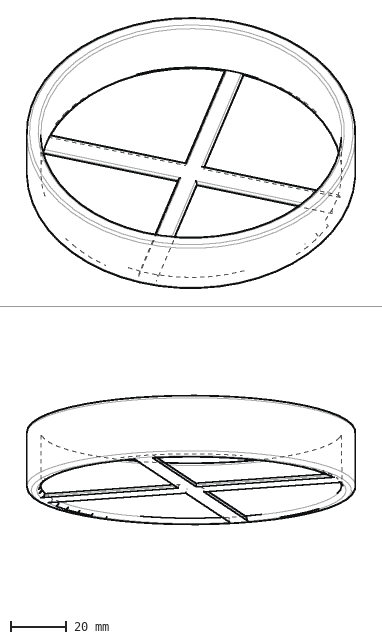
import cadquery as cq

outer_diameter = 118.0
inner_diameter = 108.0
height = 22.0
rim_fillet = 1.0
base_fillet = 1.5

x_bar_width = 8.7
y_bar_width = 6.8
bar_thickness = 1.5
bar_fillet = 0.7
bar_length = (outer_diameter + inner_diameter) / 2


def make_ring():
    """Open ring with all four circular edges rounded."""
    ring = cq.Workplane("XY").circle(outer_diameter / 2).circle(inner_diameter / 2).extrude(height)
    ring = ring.faces(">Z").edges().fillet(rim_fillet)
    return ring.faces("<Z").edges().fillet(base_fillet)


def make_cross():
    """Two crossing flat bars with rounded upper edges."""
    x_bar = cq.Workplane("XY").rect(bar_length, x_bar_width).extrude(bar_thickness)
    y_bar = cq.Workplane("XY").rect(y_bar_width, bar_length).extrude(bar_thickness)
    return x_bar.union(y_bar).faces(">Z").edges().fillet(bar_fillet)


def trim_to_wall(cross):
    """Cut the bars to a disc that ends inside the ring wall."""
    disc = cq.Workplane("XY").circle(bar_length / 2 - bar_fillet).extrude(bar_thickness)
    return cross.intersect(disc)


result = make_ring().union(trim_to_wall(make_cross()))